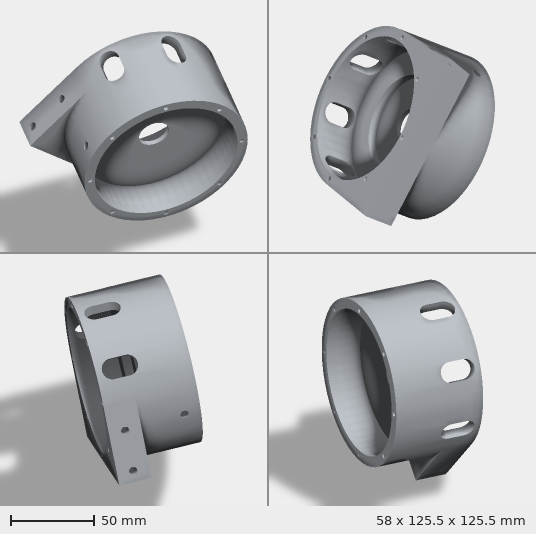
import cadquery as cq
import math

envelope = 125.5
length = 58.0
outer_radius = envelope / (1 + math.sqrt(2))

foot_thickness = 20.1
foot_edge_angle = 45.0

cavity_radius = 45.5
cavity_depth = 27.0
recess_radius = 29.5
recess_depth = 5.5
bore_radius = 9.5
floor_thickness = 3.0
rear_radius = cavity_radius
rear_start = cavity_depth + recess_depth + floor_thickness

screw_count = 8
screw_circle_radius = 48.3
screw_diameter = 3.0

slot_width = 12.7
slot_length = 22.3
slot_center_x = 15.1
slot_angles = (-112.5, -67.5, -22.5, 22.5)

cross_diameter = 5.0
foot_hole_x = foot_thickness / 2
inner_hole_offset = 19.0
outer_hole_offset = 45.0
cross_hole_depth = 8.0
rear_hole_x = 47.8


def cylinder(radius, start, depth):
    """Round bar on the housing axis."""
    return cq.Workplane("YZ").workplane(offset=start).circle(radius).extrude(depth)


def turn(shape, angle):
    """Turn a shape about the housing axis from +Z towards -Y."""
    return shape.rotate((0, 0, 0), (1, 0, 0), angle)


def body():
    """Round drum with a square-cornered foot on its front end."""
    foot = (
        cq.Workplane("XY")
        .box(foot_thickness, 2 * outer_radius, outer_radius, centered=(False, True, False))
    )
    foot = turn(foot, foot_edge_angle + 90)
    return cylinder(outer_radius, 0, length).union(foot)


def hollow():
    """Front cavity, shallow recess, bore and rear cavity."""
    front = cylinder(cavity_radius, 0, cavity_depth)
    recess = cylinder(recess_radius, 0, cavity_depth + recess_depth)
    bore = cylinder(bore_radius, 0, length)
    rear = cylinder(rear_radius, rear_start, length - rear_start)
    return front.union(recess).union(bore).union(rear)


def screw_holes():
    """Ring of axial holes running the full length of the wall."""
    return (
        cq.Workplane("YZ")
        .polarArray(screw_circle_radius, 0, 360, screw_count)
        .circle(screw_diameter / 2)
        .extrude(length)
    )


def slot(angle):
    """Radial slot, long side parallel to the housing axis."""
    upright = (
        cq.Workplane("XY")
        .center(slot_center_x, 0)
        .slot2D(slot_length, slot_width)
        .extrude(outer_radius)
    )
    return turn(upright, angle)


def cross_hole(x, offset):
    """Blind hole drilled square to the foot side, offset towards the foot corner."""
    upright = (
        cq.Workplane("XY")
        .workplane(offset=outer_radius - cross_hole_depth)
        .center(x, -offset)
        .circle(cross_diameter / 2)
        .extrude(cross_hole_depth)
    )
    return turn(upright, foot_edge_angle)


result = body().cut(hollow()).cut(screw_holes())
for slot_angle in slot_angles:
    result = result.cut(slot(slot_angle))
for hole_offset in (inner_hole_offset, outer_hole_offset):
    result = result.cut(cross_hole(foot_hole_x, hole_offset))
result = result.cut(cross_hole(rear_hole_x, inner_hole_offset))